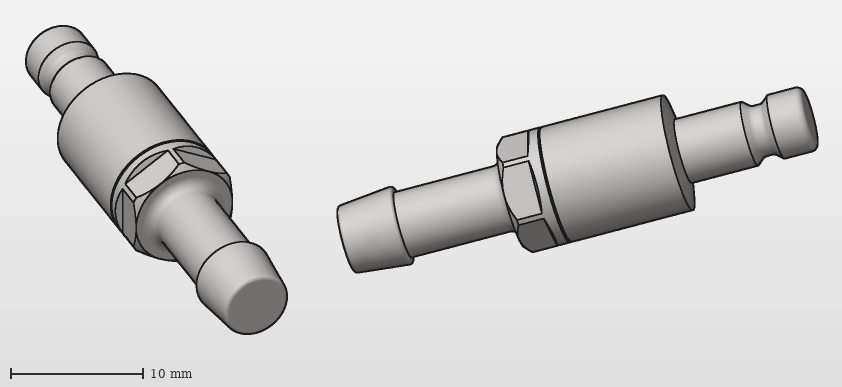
import cadquery as cq
import math

length = 36.55
body_radius = 9.0 / 2

plug_radius = 5.0 / 2
tip_fillet = 0.5
groove_root_radius = 3.95 / 2
groove_start = 2.65
groove_end = 4.75
groove_wall_angle = math.radians(40)
groove_root_fillet = 0.5

cone_start = 9.98
cone_length = 0.45
seam_start = 19.95
seam_width = 0.15
seam_depth = 0.07

hexagon_end = 23.5
hexagon_chamfer_length = 0.48
flat_start = 21.05
flat_distance = 8.0 / 2
flat_count = 6
flat_wall_angle = math.radians(25)
cutter_clearance = 0.35

neck_radius = 5.1 / 2
neck_fillet = 0.85
barb_start = 32.05
barb_radius = 6.15 / 2
barb_edge_fillet = 0.25
barb_tip_radius = 5.23 / 2
barb_tip_fillet = 0.33


def turned_profile():
    """Half section of the part, with X measured from the plug tip and Y the radius."""
    mid_ratio = 1 - math.sqrt(0.5)
    tip_mid = tip_fillet * mid_ratio
    neck_mid = neck_fillet * mid_ratio

    fillet_run = groove_root_fillet * math.sin(groove_wall_angle)
    fillet_rise = groove_root_fillet * (1 - math.cos(groove_wall_angle))
    mid_run = groove_root_fillet * math.sin(groove_wall_angle / 2)
    mid_rise = groove_root_fillet * (1 - math.cos(groove_wall_angle / 2))
    wall_drop = plug_radius - groove_root_radius - fillet_rise
    wall_run = wall_drop / math.tan(groove_wall_angle)
    root_start = groove_start + wall_run + fillet_run
    root_end = groove_end - wall_run - fillet_run

    seam_middle = seam_start + seam_width / 2
    return (
        cq.Workplane("XY")
        .moveTo(0, 0)
        .lineTo(0, plug_radius - tip_fillet)
        .threePointArc((tip_mid, plug_radius - tip_mid), (tip_fillet, plug_radius))
        .lineTo(groove_start, plug_radius)
        .lineTo(groove_start + wall_run, groove_root_radius + fillet_rise)
        .threePointArc(
            (root_start - mid_run, groove_root_radius + mid_rise),
            (root_start, groove_root_radius),
        )
        .lineTo(root_end, groove_root_radius)
        .threePointArc(
            (root_end + mid_run, groove_root_radius + mid_rise),
            (root_end + fillet_run, groove_root_radius + fillet_rise),
        )
        .lineTo(groove_end, plug_radius)
        .lineTo(cone_start, plug_radius)
        .lineTo(cone_start + cone_length, body_radius)
        .lineTo(seam_start, body_radius)
        .lineTo(seam_middle, body_radius - seam_depth)
        .lineTo(seam_start + seam_width, body_radius)
        .lineTo(hexagon_end - hexagon_chamfer_length, body_radius)
        .lineTo(hexagon_end, flat_distance)
        .lineTo(hexagon_end, neck_radius + neck_fillet)
        .threePointArc(
            (hexagon_end + neck_mid, neck_radius + neck_mid),
            (hexagon_end + neck_fillet, neck_radius),
        )
        .lineTo(barb_start, neck_radius)
        .lineTo(barb_start, barb_radius)
        .lineTo(length, barb_tip_radius)
        .lineTo(length, 0)
        .close()
    )


def flat_cutter():
    """Cutter for the +Y flat; its inner end wall leans back towards the plug."""
    outer = body_radius + cutter_clearance
    wall_lean = (outer - flat_distance) * math.tan(flat_wall_angle)
    return (
        cq.Workplane("XY")
        .polyline(
            [
                (flat_start, flat_distance),
                (hexagon_end, flat_distance),
                (hexagon_end, outer),
                (flat_start - wall_lean, outer),
            ]
        )
        .close()
        .extrude(body_radius, both=True)
    )


part = turned_profile().revolve(360, (0, 0, 0), (1, 0, 0))

margin = 0.05
reach = barb_radius + margin
back_edges = cq.selectors.BoxSelector(
    (barb_start - margin, -reach, -reach),
    (barb_start + margin, reach, reach),
    boundingbox=True,
)
part = part.edges(back_edges).edges(cq.selectors.RadiusNthSelector(-1)).fillet(barb_edge_fillet)
part = part.faces(">X").edges().fillet(barb_tip_fillet)

for index in range(flat_count):
    part = part.cut(flat_cutter().rotate((0, 0, 0), (1, 0, 0), index * 360 / flat_count))

result = part.translate((-length / 2, 0, 0))